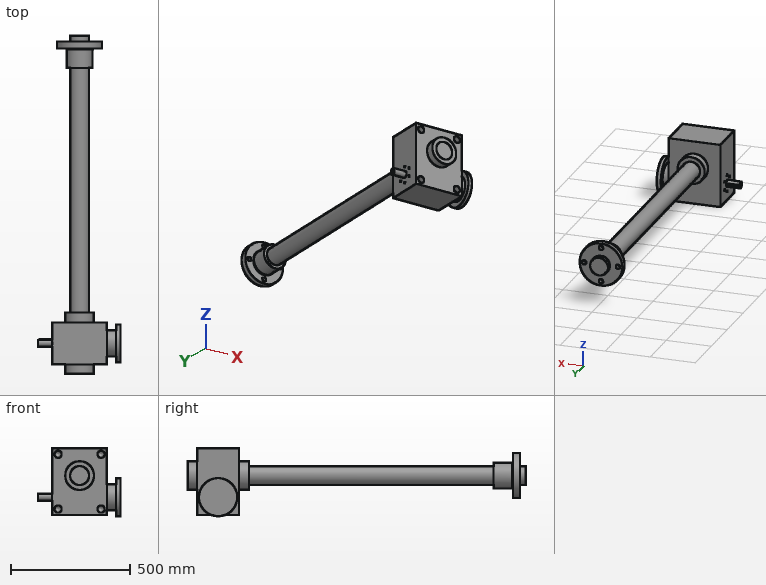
import cadquery as cq
import math

HOUSING_X = 230.0
HOUSING_Y = 175.0
HOUSING_Z = 280.0
COLLAR_DIAMETER = 120.0
FRONT_COLLAR_LENGTH = 40.0
REAR_COLLAR_LENGTH = 42.0
SPINDLE_HEIGHT = 165.0
WORM_HEIGHT = 75.0

MOUNT_HOLE_DIAMETER = 30.0
MOUNT_HOLE_DEPTH = 40.0
MOUNT_HOLE_PITCH_X = 180.0
MOUNT_HOLE_PITCH_Z = 230.0
DRILL_POINT_ANGLE = 118

COVER_HOLE_DIAMETER = 6.7
COVER_HOLE_DEPTH = 14.0
COVER_CIRCLE_RADIUS = 37.0
COVER_HOLE_COUNT = 6
COVER_START_ANGLE = 90

SPINDLE_DIAMETER = 80.0
TOTAL_LENGTH = 1416

NUT_FLANGE_DIAMETER = 190.0
NUT_FLANGE_THICKNESS = 30.0
NUT_SHOULDER_DIAMETER = 110.0
NUT_SHOULDER_LENGTH = 4.0
NUT_SLEEVE_DIAMETER = 109.0
NUT_SLEEVE_LENGTH = 81.0
SPINDLE_STUB = 24.0
NUT_HOLE_DIAMETER = 18.0
NUT_CIRCLE_RADIUS = 75.0
NUT_HOLE_COUNT = 4
NUT_START_ANGLE = 0

WORM_DIAMETER = 30.0
WORM_LENGTH = 60.0
CENTRE_HOLE_DIAMETER = 9.0
CENTRE_HOLE_DEPTH = 14.0
KEY_WIDTH = 10.0
KEY_LENGTH = 50.0
KEY_END_GAP = 5.0
KEY_RISE = 3.0
KEY_DEPTH = 4.0

MOTOR_NECK_DIAMETER = 110.0
MOTOR_NECK_LENGTH = 38.0
MOTOR_FLANGE_DIAMETER = 160.0
MOTOR_FLANGE_THICKNESS = 18.0

SPINDLE_START = -FRONT_COLLAR_LENGTH
SPINDLE_END = SPINDLE_START + TOTAL_LENGTH
WORM_Y = HOUSING_Y / 2
HOUSING_LEFT = -HOUSING_X / 2
HOUSING_RIGHT = HOUSING_X / 2


def cylinder_y(diameter, start, end, x=0, z=SPINDLE_HEIGHT):
    """Cylinder parallel to Y, on the spindle axis unless placed elsewhere."""
    return cq.Workplane(
        cq.Solid.makeCylinder(diameter / 2, end - start, cq.Vector(x, start, z), cq.Vector(0, 1, 0))
    )


def cylinder_x(diameter, start, end, y=WORM_Y, z=WORM_HEIGHT):
    """Cylinder parallel to X, on the worm axis unless placed elsewhere."""
    return cq.Workplane(
        cq.Solid.makeCylinder(diameter / 2, end - start, cq.Vector(start, y, z), cq.Vector(1, 0, 0))
    )


def circle_points(radius, count, start_angle):
    """Points evenly spaced on a circle, as pairs of offsets from its centre."""
    angles = [math.radians(start_angle) + i * 2 * math.pi / count for i in range(count)]
    return [(radius * math.cos(angle), radius * math.sin(angle)) for angle in angles]


def mount_hole(x, z):
    """Blind drilled hole with a conical bottom, going into the housing front."""
    radius = MOUNT_HOLE_DIAMETER / 2
    point = radius / math.tan(math.radians(DRILL_POINT_ANGLE / 2))
    cone = cq.Solid.makeCone(
        radius, 0, point, cq.Vector(x, MOUNT_HOLE_DEPTH, z), cq.Vector(0, 1, 0)
    )
    return cylinder_y(MOUNT_HOLE_DIAMETER, 0, MOUNT_HOLE_DEPTH, x, z).union(cq.Workplane(cone))


def make_housing():
    """Gearbox block with a collar on each side, bored through for the spindle."""
    body = cq.Workplane().box(HOUSING_X, HOUSING_Y, HOUSING_Z, centered=(True, False, False))
    collar_end = HOUSING_Y + REAR_COLLAR_LENGTH
    body = body.union(cylinder_y(COLLAR_DIAMETER, SPINDLE_START, collar_end))
    body = body.cut(cylinder_y(SPINDLE_DIAMETER, SPINDLE_START, collar_end))
    for side_x in (-1, 1):
        for side_z in (-1, 1):
            x = side_x * MOUNT_HOLE_PITCH_X / 2
            z = HOUSING_Z / 2 + side_z * MOUNT_HOLE_PITCH_Z / 2
            body = body.cut(mount_hole(x, z))
    cover_hole_end = HOUSING_LEFT + COVER_HOLE_DEPTH
    for dy, dz in circle_points(COVER_CIRCLE_RADIUS, COVER_HOLE_COUNT, COVER_START_ANGLE):
        y = WORM_Y + dy
        z = WORM_HEIGHT + dz
        body = body.cut(cylinder_x(COVER_HOLE_DIAMETER, HOUSING_LEFT, cover_hole_end, y, z))
    return body


def make_spindle():
    """Plain round spindle, flush with the front collar."""
    return cylinder_y(SPINDLE_DIAMETER, SPINDLE_START, SPINDLE_END)


def make_nut():
    """Flanged nut on the far end of the spindle, with bolt holes in the flange."""
    flange_end = SPINDLE_END - SPINDLE_STUB
    flange_start = flange_end - NUT_FLANGE_THICKNESS
    sleeve_start = flange_start - NUT_SLEEVE_LENGTH
    nut = cylinder_y(NUT_FLANGE_DIAMETER, flange_start, flange_end)
    nut = nut.union(cylinder_y(NUT_SLEEVE_DIAMETER, sleeve_start, flange_start))
    shoulder_start = flange_start - NUT_SHOULDER_LENGTH
    nut = nut.union(cylinder_y(NUT_SHOULDER_DIAMETER, shoulder_start, flange_start))
    nut = nut.cut(cylinder_y(SPINDLE_DIAMETER, sleeve_start, flange_end))
    for x, dz in circle_points(NUT_CIRCLE_RADIUS, NUT_HOLE_COUNT, NUT_START_ANGLE):
        z = SPINDLE_HEIGHT + dz
        nut = nut.cut(cylinder_y(NUT_HOLE_DIAMETER, flange_start, flange_end, x, z))
    return nut


def make_worm_shaft():
    """Worm shaft with a centre hole in its free end and a key along its +Y side."""
    shaft_end = HOUSING_LEFT - WORM_LENGTH
    surface_y = WORM_Y + WORM_DIAMETER / 2
    key = (
        cq.Workplane()
        .box(KEY_LENGTH, KEY_DEPTH + KEY_RISE, KEY_WIDTH, centered=(False, False, True))
        .translate((shaft_end + KEY_END_GAP, surface_y - KEY_DEPTH, WORM_HEIGHT))
    )
    shaft = cylinder_x(WORM_DIAMETER, shaft_end, HOUSING_LEFT).union(key)
    return shaft.cut(cylinder_x(CENTRE_HOLE_DIAMETER, shaft_end, shaft_end + CENTRE_HOLE_DEPTH))


def make_motor_flange():
    """Round neck and flange on the +X side of the housing, on the worm axis."""
    neck_end = HOUSING_RIGHT + MOTOR_NECK_LENGTH
    neck = cylinder_x(MOTOR_NECK_DIAMETER, HOUSING_RIGHT, neck_end)
    return neck.union(
        cylinder_x(MOTOR_FLANGE_DIAMETER, neck_end, neck_end + MOTOR_FLANGE_THICKNESS)
    )


result = cq.Compound.makeCompound([
    make_housing().val(),
    make_spindle().val(),
    make_nut().val(),
    make_worm_shaft().val(),
    make_motor_flange().val(),
])